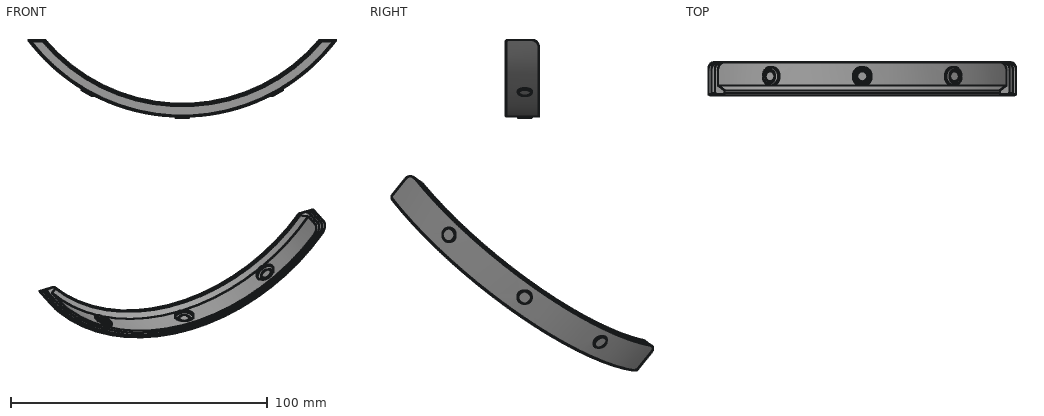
import cadquery as cq
import math

outer_radius = 75.0
half_span = 60.0
band_width = 13.0
end_plane_z = -math.sqrt(outer_radius**2 - half_span**2)
skin_thickness = 1.0
slot_gap = 1.0
floor_radius = outer_radius - 2 * skin_thickness - slot_gap

lip_height = 2.0
lip_radius = floor_radius - lip_height
lip_crest_y = 2.0
lip_foot_y = lip_crest_y + lip_height

inner_chamfer = 0.9
outer_chamfer = 0.4
end_chamfer = 0.7
back_corner_radius = 3.0

envelope_margin = 1.0

slot_front_y = 1.0

pin_angles = (-29.5, 0.0, 29.5)
pin_y = 7.5
pin_base_diameter = 5.6
pin_inner_tip_diameter = 4.0
pin_outer_tip_diameter = 5.0
pin_outer_height = 0.5
hole_diameter = 7.3


def ring(points):
    """Revolve a (radius, y) section a full turn about the Y axis."""
    return cq.Workplane("XY").polyline(points).close().revolve(360, (0, 0, 0), (0, 1, 0))


def full_ring():
    """Band section with the lip and the chamfered front edges."""
    return ring([
        (floor_radius, band_width),
        (floor_radius, lip_foot_y),
        (lip_radius, lip_crest_y),
        (lip_radius, inner_chamfer),
        (lip_radius + inner_chamfer, 0),
        (outer_radius - outer_chamfer, 0),
        (outer_radius, outer_chamfer),
        (outer_radius, band_width),
    ])


def end_envelope():
    """Prism along X that forms the level ends, chamfered in front and rounded at the back."""
    bottom_z = -(outer_radius + envelope_margin)
    return (
        cq.Workplane("YZ")
        .moveTo(0, bottom_z)
        .lineTo(0, end_plane_z - end_chamfer)
        .lineTo(end_chamfer, end_plane_z)
        .lineTo(band_width - back_corner_radius, end_plane_z)
        .radiusArc((band_width, end_plane_z - back_corner_radius), back_corner_radius)
        .lineTo(band_width, bottom_z)
        .close()
        .extrude(outer_radius, both=True)
    )


def slot():
    """Curved gap between the inner and the outer skin."""
    slot_inner_radius = floor_radius + skin_thickness
    slot_outer_radius = slot_inner_radius + slot_gap
    return ring([
        (slot_inner_radius, slot_front_y),
        (slot_outer_radius, slot_front_y),
        (slot_outer_radius, band_width),
        (slot_inner_radius, band_width),
    ])


def place_radially(body, angle):
    """Move a body built down the -Z axis to a pin position on the band."""
    return body.translate((0, pin_y, 0)).rotate((0, 0, 0), (0, 1, 0), angle)


def clearance_hole(angle):
    """Round hole through the inner skin, ending inside the slot."""
    depth_radius = floor_radius + skin_thickness + slot_gap / 2
    hole = (
        cq.Workplane("XY")
        .workplane(offset=-depth_radius)
        .circle(hole_diameter / 2)
        .extrude(depth_radius - lip_radius)
    )
    return place_radially(hole, angle)


def pin(angle):
    """Double-ended pin: tapered into the slot and slightly proud of the outside."""
    inner_tip_z = -(floor_radius + skin_thickness)
    inner_base_z = inner_tip_z - slot_gap
    outer_base_z = -outer_radius
    outer_tip_z = outer_base_z - pin_outer_height
    body = (
        cq.Workplane("XZ")
        .moveTo(0, inner_tip_z)
        .lineTo(pin_inner_tip_diameter / 2, inner_tip_z)
        .lineTo(pin_base_diameter / 2, inner_base_z)
        .lineTo(pin_base_diameter / 2, outer_base_z)
        .lineTo(pin_outer_tip_diameter / 2, outer_tip_z)
        .lineTo(0, outer_tip_z)
        .close()
        .revolve(360, (0, 0, 0), (0, 1, 0))
    )
    return place_radially(body, angle)


result = full_ring().intersect(end_envelope()).cut(slot())
for pin_angle in pin_angles:
    result = result.cut(clearance_hole(pin_angle)).union(pin(pin_angle))